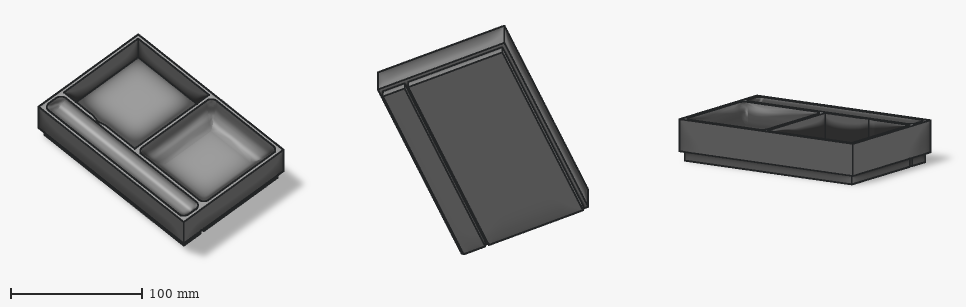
import cadquery as cq
import math

LENGTH = 160.0
DEPTH = 105.0
BODY_HEIGHT = 25.0
FOOT_HEIGHT = 7.5
POCKET_SIDE = 78.0
TRAY_WIDTH = 18.0
WALL = (DEPTH - POCKET_SIDE - TRAY_WIDTH) / 3
TRAY_LENGTH = LENGTH - 2 * WALL
BOWL_LENGTH = LENGTH - 3 * WALL - POCKET_SIDE

POCKET_FLOOR = 3.0
NOTCH_WIDTH = 13.5
NOTCH_DEPTH = 1.6
TRAY_DROP = 6.0
BOWL_RADIUS = 15.0
CORNER_RADIUS = 5.0
BOWL_STEPS = 16
FLOOR_CORNER_RADIUS = 0.02

TRAY_Y = WALL + TRAY_WIDTH / 2
REAR_ROW_Y = 2 * WALL + TRAY_WIDTH
REAR_CENTER_Y = REAR_ROW_Y + POCKET_SIDE / 2
POCKET_CENTER_X = WALL + POCKET_SIDE / 2
BOWL_CENTER_X = LENGTH - WALL - BOWL_LENGTH / 2


def make_foot(front_y, width):
    """Full-length raised strip under the body, set in by one wall at each end."""
    return cq.Workplane("XY").box(TRAY_LENGTH, width, FOOT_HEIGHT, centered=False).translate(
        (WALL, front_y, -FOOT_HEIGHT)
    )


def make_pocket():
    """Square pocket with a shallow V notch in the middle of its front wall."""
    return (
        cq.Workplane("XY", origin=(0, 0, POCKET_FLOOR))
        .moveTo(WALL, REAR_ROW_Y)
        .lineTo(POCKET_CENTER_X - NOTCH_WIDTH / 2, REAR_ROW_Y)
        .lineTo(POCKET_CENTER_X, REAR_ROW_Y - NOTCH_DEPTH)
        .lineTo(POCKET_CENTER_X + NOTCH_WIDTH / 2, REAR_ROW_Y)
        .lineTo(WALL + POCKET_SIDE, REAR_ROW_Y)
        .lineTo(WALL + POCKET_SIDE, REAR_ROW_Y + POCKET_SIDE)
        .lineTo(WALL, REAR_ROW_Y + POCKET_SIDE)
        .close()
        .extrude(BODY_HEIGHT - POCKET_FLOOR)
    )


def bowl_section(angle):
    """Rounded rectangle where the quarter-round bowl wall has turned by the angle."""
    inset = BOWL_RADIUS * (1 - math.cos(angle))
    z = BODY_HEIGHT - BOWL_RADIUS * math.sin(angle)
    corner = max(CORNER_RADIUS * math.cos(angle), FLOOR_CORNER_RADIUS)
    outline = cq.Sketch().rect(BOWL_LENGTH - 2 * inset, POCKET_SIDE - 2 * inset)
    outline = outline.vertices().fillet(corner)
    return outline.moved(cq.Location(cq.Vector(BOWL_CENTER_X, REAR_CENTER_Y, z)))


def make_bowl():
    """Bowl with quarter-round walls whose corner radius shrinks away at the floor."""
    sections = [bowl_section(math.pi / 2 * step / BOWL_STEPS) for step in range(BOWL_STEPS + 1)]
    return cq.Workplane("XY").placeSketch(*sections).loft()


def make_tray():
    """Pen tray cut by a round bar with rounded ends, its axis above the rim."""
    radius = ((TRAY_WIDTH / 2) ** 2 + TRAY_DROP ** 2) / (2 * TRAY_DROP)
    axis_height = BODY_HEIGHT - TRAY_DROP + radius
    return (
        cq.Workplane("YZ", origin=(WALL, TRAY_Y, axis_height))
        .circle(radius)
        .extrude(TRAY_LENGTH)
        .faces("<X or >X")
        .edges()
        .fillet(CORNER_RADIUS)
    )


body = cq.Workplane("XY").box(LENGTH, DEPTH, BODY_HEIGHT, centered=False)
body = body.union(make_foot(WALL, TRAY_WIDTH))
body = body.union(make_foot(REAR_ROW_Y, POCKET_SIDE))

result = body.cut(make_pocket()).cut(make_bowl()).cut(make_tray())